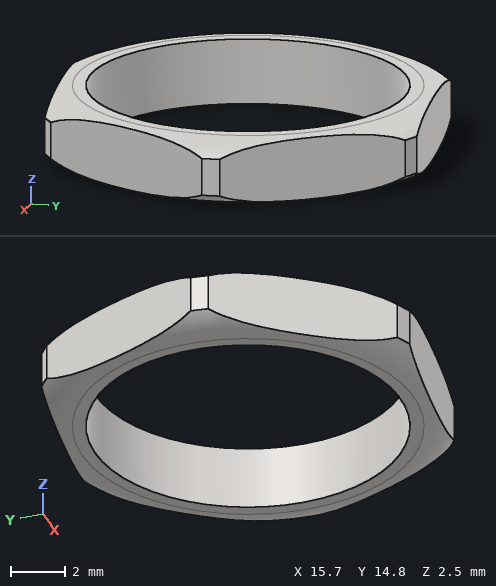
import cadquery as cq
import math

thickness = 2.5
bore_diameter = 12.0
face_diameter = 13.03
across_flats = 14.0
corner_diameter = 15.8
corner_band_height = 1.42
hex_turn = 7.0

half_thickness = thickness / 2
half_band = corner_band_height / 2
face_radius = face_diameter / 2
corner_radius = corner_diameter / 2

crown_width = corner_radius - face_radius
crown_drop = half_thickness - half_band
crown_radius = (crown_width**2 + crown_drop**2) / (2 * crown_drop)
half_sweep = math.asin(crown_width / crown_radius) / 2
crown_mid_r = face_radius + crown_radius * math.sin(half_sweep)
crown_mid_z = half_thickness - crown_radius * (1 - math.cos(half_sweep))


def make_hexagon():
    """Hexagonal prism centred on the origin."""
    across_corners = across_flats / math.cos(math.radians(30))
    prism = cq.Workplane("XY").polygon(6, across_corners).extrude(half_thickness, both=True)
    return prism.rotate((0, 0, 0), (0, 0, 1), hex_turn)


def make_crowned_ring():
    """Turned ring with the bore, crowned ends and outer corner band."""
    bore_radius = bore_diameter / 2
    return (
        cq.Workplane("XZ")
        .moveTo(bore_radius, -half_thickness)
        .lineTo(face_radius, -half_thickness)
        .threePointArc((crown_mid_r, -crown_mid_z), (corner_radius, -half_band))
        .lineTo(corner_radius, half_band)
        .threePointArc((crown_mid_r, crown_mid_z), (face_radius, half_thickness))
        .lineTo(bore_radius, half_thickness)
        .close()
        .revolve(360, (0, 0, 0), (0, 1, 0))
    )


result = make_hexagon().intersect(make_crowned_ring())